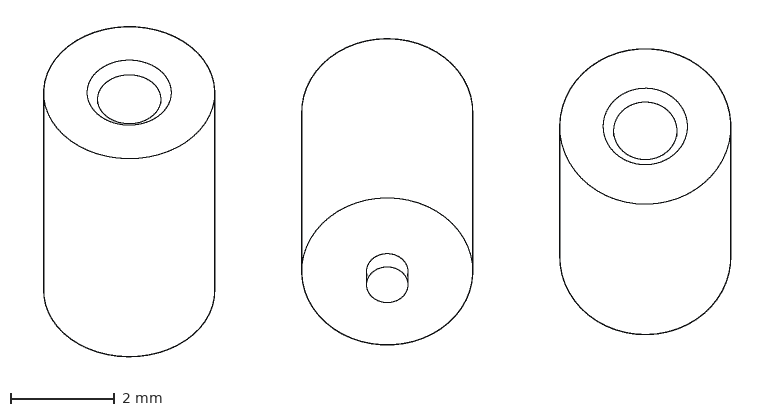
import cadquery as cq
import math

total_length = 6.5
body_diameter = 3.3
pin_diameter = 0.8
pin_length = 0.5
hole_diameter = 1.22
hole_depth = 3.9
drill_point_angle = 118.0
mouth_chamfer = 0.2

body_radius = body_diameter / 2
pin_radius = pin_diameter / 2
hole_radius = hole_diameter / 2
hole_floor_z = total_length - hole_depth
drill_tip_z = hole_floor_z - hole_radius / math.tan(math.radians(drill_point_angle / 2))

half_section = (
    cq.Workplane("XZ")
    .polyline([
        (0, 0),
        (pin_radius, 0),
        (pin_radius, pin_length),
        (body_radius, pin_length),
        (body_radius, total_length),
        (hole_radius + mouth_chamfer, total_length),
        (hole_radius, total_length - mouth_chamfer),
        (hole_radius, hole_floor_z),
        (0, drill_tip_z),
    ])
    .close()
)

result = half_section.revolve(360, (0, 0), (0, 1))